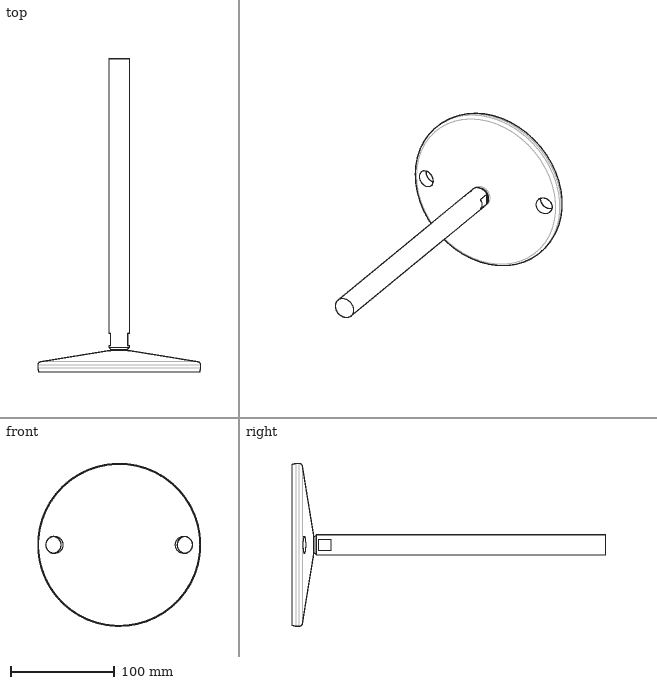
import cadquery as cq
import math

total_length = 304.0
foot_diameter = 158.0
rod_diameter = 20.0

base_diameter = 156.3
rim_start = 4.0
rim_end = 7.0
shoulder_radius = 3.3
cone_angle = 9.2
cone_top_diameter = rod_diameter

hole_diameter = 16.5
hole_offset = 62.5
hole_reach = 30.5

rod_start = 24.0
neck_diameter = 16.5
neck_chamfer = (rod_diameter - neck_diameter) / 2
flat_start = 25.8
flat_end = 37.7
across_flats = 17.0

slope = math.radians(cone_angle)
foot_radius = foot_diameter / 2
arc_centre_radius = foot_radius - shoulder_radius
arc_end_radius = arc_centre_radius + shoulder_radius * math.sin(slope)
arc_end_height = rim_end + shoulder_radius * math.cos(slope)
arc_middle_angle = (math.pi / 2 - slope) / 2
arc_middle = (
    arc_centre_radius + shoulder_radius * math.cos(arc_middle_angle),
    rim_end + shoulder_radius * math.sin(arc_middle_angle),
)
cone_top_radius = cone_top_diameter / 2
foot_height = arc_end_height + (arc_end_radius - cone_top_radius) * math.tan(slope)


def revolve_about_y(profile):
    return profile.close().revolve(360, (0, 0, 0), (0, 1, 0))


def make_hole_cutter(side):
    """Cylinder through the foot that leans outward on the given side (+1 or -1)."""
    direction = cq.Vector(side * math.sin(slope), math.cos(slope), 0)
    centre = cq.Vector(side * hole_offset, 0, 0)
    start = centre - direction * hole_reach
    return cq.Solid.makeCylinder(hole_diameter / 2, 2 * hole_reach, start, direction)


def make_foot():
    profile = (
        cq.Workplane("XY")
        .lineTo(base_diameter / 2, 0)
        .lineTo(foot_radius, rim_start)
        .lineTo(foot_radius, rim_end)
        .threePointArc(arc_middle, (arc_end_radius, arc_end_height))
        .lineTo(cone_top_radius, foot_height)
        .lineTo(0, foot_height)
    )
    foot = revolve_about_y(profile)
    for side in (-1, 1):
        foot = foot.cut(cq.Workplane(obj=make_hole_cutter(side)))
    return foot


def make_rod():
    """Rod standing on the foot, with a thin neck and two wrench flats."""
    rod_radius = rod_diameter / 2
    neck_radius = neck_diameter / 2
    profile = (
        cq.Workplane("XY")
        .moveTo(0, foot_height)
        .lineTo(neck_radius, foot_height)
        .lineTo(neck_radius, rod_start - neck_chamfer)
        .lineTo(rod_radius, rod_start)
        .lineTo(rod_radius, total_length)
        .lineTo(0, total_length)
    )
    rod = revolve_about_y(profile)
    flat_length = flat_end - flat_start
    flat_middle = (flat_start + flat_end) / 2
    for side in (-1, 1):
        cutter_centre = side * (across_flats + rod_radius) / 2
        cutter = cq.Workplane("XY").box(rod_radius, flat_length, rod_diameter)
        rod = rod.cut(cutter.translate((cutter_centre, flat_middle, 0)))
    return rod


foot = make_foot()
rod = make_rod()
result = cq.Compound.makeCompound([foot.val(), rod.val()])